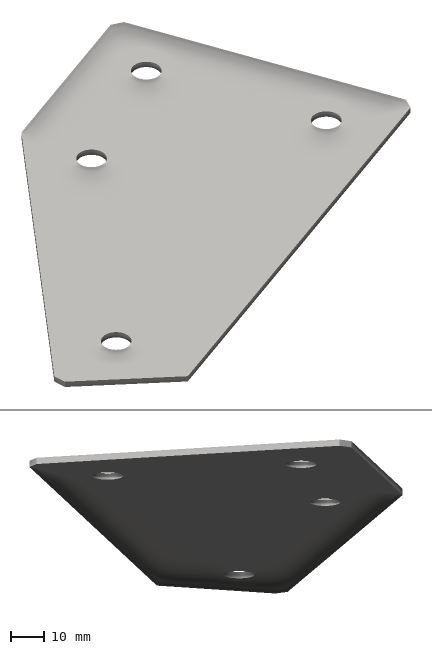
import cadquery as cq
import math

width = 100.0
length = 177.0
thickness = 2.0

strip_width = 40.0
strip_angle = math.radians(30)
corner_chamfer = 3.0

hole_diameter = 9.2
edge_distance = strip_width / 2
top_hole_spacing = 60.0
strip_hole_spacing = 95.5

along_x, along_y = math.sin(strip_angle), -math.cos(strip_angle)
across_x, across_y = math.cos(strip_angle), math.sin(strip_angle)

right_corner_y = (strip_width - corner_chamfer) * across_y
tip_x = width - strip_width * across_x
tip_y = right_corner_y - strip_width * across_y
slanted_edge_length = tip_x / along_x
left_corner_y = tip_y - slanted_edge_length * along_y


def strip_point(distance_from_end):
    """Point on the strip's centre line at a distance from its end edge."""
    x = tip_x + edge_distance * across_x - distance_from_end * along_x
    y = tip_y + edge_distance * across_y - distance_from_end * along_y
    return x, y


def make_plate():
    """Flat five-sided plate with chamfers at its three square corners."""
    outline = [
        (0, left_corner_y),
        (tip_x, tip_y),
        (width, right_corner_y),
        (width, length),
        (0, length),
    ]
    plate = cq.Workplane("XY").polyline(outline).close().extrude(thickness)
    for x, y in [(tip_x, tip_y), (width, length), (0, length)]:
        corner = cq.selectors.NearestToPointSelector((x, y, thickness / 2))
        plate = plate.edges("|Z").edges(corner).chamfer(corner_chamfer)
    return plate


top_hole_y = length - edge_distance
hole_centres = [
    (edge_distance, top_hole_y),
    (edge_distance + top_hole_spacing, top_hole_y),
    strip_point(edge_distance),
    strip_point(edge_distance + strip_hole_spacing),
]

hole_cutter = cq.Workplane("XY").pushPoints(hole_centres).circle(hole_diameter / 2).extrude(thickness)
result = make_plate().cut(hole_cutter)